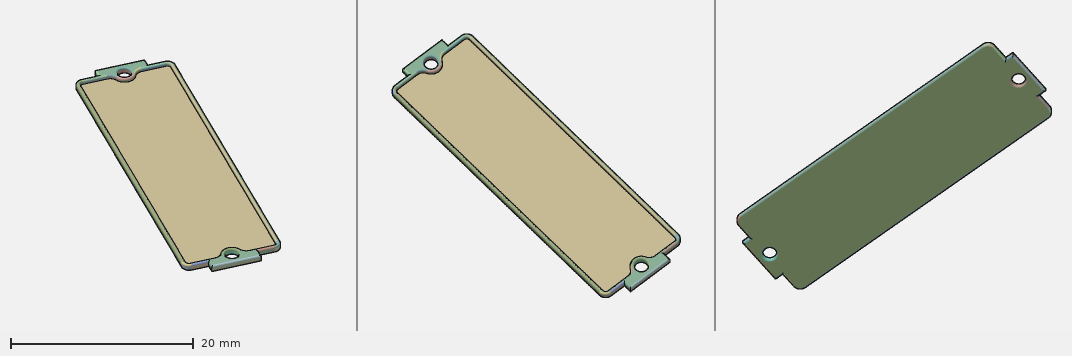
import cadquery as cq

total_length = 37.8
body_length = 35.8
body_width = 11.5
thickness = 0.8
corner_radius = 0.9
edge_radius = 0.2

tab_width = 5.8

rim_width = 0.5
tray_depth = 0.4
tray_length = body_length - 2 * rim_width
tray_width = body_width - 2 * rim_width
tray_corner_radius = corner_radius - rim_width

hole_diameter = 1.5
hole_x = tray_length / 2
boss_radius = hole_diameter / 2 + rim_width
boss_blend_radius = 1.0


def make_blank():
    """Body with rounded corners and an end tab on each short side."""
    body = (
        cq.Workplane("XY")
        .box(body_length, body_width, thickness)
        .edges("|Z")
        .fillet(corner_radius)
    )
    tabs = cq.Workplane("XY").box(total_length, tab_width, thickness)
    return body.union(tabs)


def make_holes():
    """Solid cylinders to remove for the two through holes."""
    return (
        cq.Workplane("XY")
        .pushPoints([(-hole_x, 0), (hole_x, 0)])
        .circle(hole_diameter / 2)
        .extrude(thickness, both=True)
    )


def make_tray():
    """Solid to remove for the tray; its short sides bend inward around the holes."""
    half_length = tray_length / 2
    half_width = tray_width / 2
    boss_tip_x = hole_x - boss_radius

    prism = (
        cq.Workplane("XY", origin=(0, 0, thickness / 2 - tray_depth))
        .moveTo(-half_length, -half_width)
        .lineTo(half_length, -half_width)
        .lineTo(half_length, -boss_radius)
        .threePointArc((boss_tip_x, 0), (half_length, boss_radius))
        .lineTo(half_length, half_width)
        .lineTo(-half_length, half_width)
        .lineTo(-half_length, boss_radius)
        .threePointArc((-boss_tip_x, 0), (-half_length, -boss_radius))
        .close()
        .extrude(thickness)
    )
    return (
        prism.edges("|Z and (not (>Y or <Y))")
        .fillet(boss_blend_radius)
        .edges("|Z and (>Y or <Y)")
        .fillet(tray_corner_radius)
    )


plate = make_blank().cut(make_holes()).cut(make_tray())

result = plate.faces(">Z or <Z").edges().fillet(edge_radius)